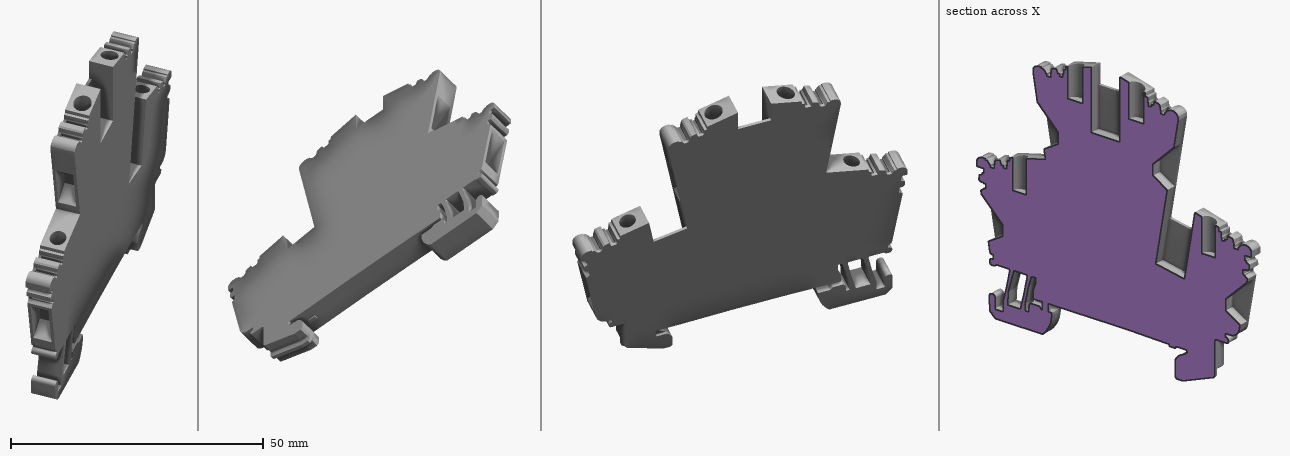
import cadquery as cq

THICKNESS = 5.1
COVER = 0.6
RIB_X = (2.15, 2.9)
POST_Y, POST_Z = (-18.15, -16.5), (4.85, 7.6)
PAD_Y, PAD_Z = (13.8, 15.55), (6.6, 7.6)

TOWER_Y = -2.15
TOWER_TOP_Z = 62.2
TOWER_STEP = (10.0, 60.6)
TOWER_CORNER = (18.3, 56.9)
TOWER_FOOT = (14.3, 33.5)

WING_STEP = (26.3, 36.4)
WING_TOP = (17.35, 38.7)
WING_SIDE_TOP = (33.6, 27.15)
WING_SIDE_LOW = (31.5, 15.5)

SLOT_HALF = 3.5
SLOT_FLOOR_Z = 57.6
WELL_DEPTH = 9.7

NOTCH_OUTER = (19.3, 32.25)
NOTCH_INNER = (TOWER_Y + TOWER_FOOT[0], TOWER_FOOT[1])
NOTCH_LEAN = 0.17
NOTCH_RISE = 8.3

BASE_Z = 7.05
ARCH_RISE = 0.2
SKIRT_Z = 11.9
LUG_Z = 11.5
LUG_CHAMFER = 0.3
STRUT_OVERLAP = 0.7

FIXED_HOOK_BACK = 25.35
FIXED_HOOK_FRONT = 15.25
FIXED_HOOK_LOW_Z = 1.5
RIB_DROP = 1.5

HOLE_X = 2.8
WING_HOLE_Y = 23.75
WING_HOLE_DIAMETER = 3.3
TOWER_HOLE_OFFSET = 7.7
TOWER_HOLE_DIAMETER = 3.65
HOLE_DEPTH = 6.9
HOLE_CLEARANCE = 3.45
SCREW_HOLES = [
    (WING_HOLE_Y, WING_STEP[1], WING_HOLE_DIAMETER),
    (-WING_HOLE_Y, WING_STEP[1], WING_HOLE_DIAMETER),
    (TOWER_Y + TOWER_HOLE_OFFSET, TOWER_STEP[1], TOWER_HOLE_DIAMETER),
    (TOWER_Y - TOWER_HOLE_OFFSET, TOWER_STEP[1], TOWER_HOLE_DIAMETER),
]

FUNNEL_X = (0.6, 4.4)
FUNNEL_HEIGHT = 9.8
FUNNEL_DEPTH = 3.6
FUNNEL_FLOOR_RISE = 2.15
FUNNEL_BACK_HEIGHT = 2.5
TOWER_FUNNEL_Z = 40.8
WING_FUNNEL_Z = 16.5


def prism(path, x_range=(0, THICKNESS)):
    """Extrude a closed YZ outline along X; a step is a point or an arc (via, end)."""
    outline = cq.Workplane("YZ", origin=(x_range[0], 0, 0)).moveTo(*path[0])
    for step in path[1:]:
        if isinstance(step[0], tuple):
            outline = outline.threePointArc(*step)
        else:
            outline = outline.lineTo(*step)
    return outline.close().extrude(x_range[1] - x_range[0])


def shifted(path, origin):
    """Move a path of points and arcs to a new origin."""
    moved = []
    for step in path:
        if isinstance(step[0], tuple):
            moved.append(tuple(shifted(step, origin)))
        else:
            moved.append((origin[0] + step[0], origin[1] + step[1]))
    return moved


def both_sides(half, centre_y=0.0):
    """Join a half built on the +Y side of Y = 0 with its mirror image, then centre it."""
    return half.union(half.mirror("XZ")).translate((0, centre_y, 0))


CREST = [
    (0, 0), (0.1, -0.75), (0.6, -0.8), (0.6, -1.7), ((0.75, -2.0), (1.1, -2.1)), (1.9, -2.15),
    (2.35, -1.2), (3.3, -1.45), (3.65, -1.7), (3.8, -2.55),
    ((4.0, -2.8), (4.35, -3.0)), (4.9, -3.0), (5.5, -2.2), (6.0, -2.2), (6.1, -1.9),
    (7.0, -1.9), ((7.75, -2.3), (8.2, -2.9)),
]
WING_EDGE = [
    (8.2, -4.35), (7.2, -4.35), ((6.9, -4.9), (7.0, -5.65)), (7.7, -6.0),
    (7.75, -7.05), (7.25, -7.45), (6.5, -7.45), (6.5, -8.7),
]
CREST_RELIEFS = [((0.75, 1.45), (-2.6, -1.8)), ((3.9, 4.8), (-3.45, -2.75))]
EDGE_RELIEFS = [((6.55, 7.2), (-5.25, -4.35)), ((6.1, 6.6), (-8.5, -7.6))]


def cut_reliefs(half, step, reliefs):
    """Deepen the grooves of a half behind the cover."""
    for (near, far), (low, high) in reliefs:
        corners = [(near, low), (far, low), (far, high), (near, high)]
        half = half.cut(prism(shifted(corners, step), (COVER, THICKNESS)))
    return half


def cut_funnel(half, side_top, side_low, mouth_z):
    """Cut a wire funnel into the sloping side that runs from side_low up to side_top."""
    lean = (side_top[0] - side_low[0]) / (side_top[1] - side_low[1])
    mouth_y = side_low[0] + lean * (mouth_z - side_low[1])
    back_y = mouth_y - FUNNEL_DEPTH
    back_low = mouth_z + FUNNEL_FLOOR_RISE
    funnel = [
        (mouth_y, mouth_z),
        (mouth_y + lean * FUNNEL_HEIGHT, mouth_z + FUNNEL_HEIGHT),
        (back_y, back_low + FUNNEL_BACK_HEIGHT),
        (back_y, back_low),
    ]
    return half.cut(prism(funnel, FUNNEL_X))


def tower():
    outline = [(0, TOWER_FOOT[1]), (0, SLOT_FLOOR_Z), (SLOT_HALF, SLOT_FLOOR_Z), (SLOT_HALF, TOWER_TOP_Z)]
    outline += shifted(CREST, TOWER_STEP)
    outline += [TOWER_CORNER, TOWER_FOOT]
    half = cut_reliefs(prism(outline), TOWER_STEP, CREST_RELIEFS)
    half = cut_funnel(half, TOWER_CORNER, TOWER_FOOT, TOWER_FUNNEL_Z)
    return both_sides(half, TOWER_Y)


def wings():
    outline = [(0, WING_SIDE_LOW[1]), (0, WING_TOP[1]), WING_TOP]
    outline += shifted(CREST + WING_EDGE, WING_STEP)
    outline += [WING_SIDE_TOP, WING_SIDE_LOW]
    half = cut_reliefs(prism(outline), WING_STEP, CREST_RELIEFS + EDGE_RELIEFS)
    half = cut_funnel(half, WING_SIDE_TOP, WING_SIDE_LOW, WING_FUNNEL_Z)
    return both_sides(half)


def notch_cutter(depth, x_range):
    """Tilted notch with its floor sunk by depth along the leaning walls."""
    def along_wall(point, rise):
        return (point[0] + NOTCH_LEAN * rise, point[1] + rise)

    return prism([
        along_wall(NOTCH_OUTER, -depth), along_wall(NOTCH_OUTER, NOTCH_RISE),
        along_wall(NOTCH_INNER, NOTCH_RISE), along_wall(NOTCH_INNER, -depth),
    ], x_range)


def marker_well():
    well = [
        (TOWER_Y - SLOT_HALF, SLOT_FLOOR_Z), (TOWER_Y + SLOT_HALF, SLOT_FLOOR_Z),
        (TOWER_Y + SLOT_HALF, SLOT_FLOOR_Z - WELL_DEPTH), (TOWER_Y - SLOT_HALF, SLOT_FLOOR_Z - WELL_DEPTH),
    ]
    return prism(well, (COVER, THICKNESS))


def lower_body():
    """Body below the wings, with its shallow arched underside and snap lugs at both ends."""
    return prism([
        WING_SIDE_LOW, ((30.8, 14.15), (29.5, 13.55)), (28.05, 13.55), (28.05, 13.0), (28.45, 12.7),
        ((28.8, 12.15), (28.4, LUG_Z)), (FIXED_HOOK_BACK + LUG_CHAMFER, LUG_Z),
        (FIXED_HOOK_BACK, LUG_Z - LUG_CHAMFER), (FIXED_HOOK_BACK, BASE_Z),
        (13.8, BASE_Z), ((-2.75, BASE_Z + ARCH_RISE), (-19.35, BASE_Z)),
        (-20.45, BASE_Z), (-20.45, 8.85), (-19.8, 10.65), (-19.8, SKIRT_Z),
        (-29.55, SKIRT_Z), (-30.05, LUG_Z), (-30.9, LUG_Z), ((-31.35, 12.15), (-30.45, 13.0)),
        (-30.45, 13.75), (-31.15, 13.95), (-31.35, 14.6), (-WING_SIDE_LOW[0], WING_SIDE_LOW[1]),
    ])


def hook_sole(drop):
    """Lower edge of the fixed hook from its front to its back, lowered by drop."""
    return shifted([
        (FIXED_HOOK_FRONT, 2.0), (15.7, FIXED_HOOK_LOW_Z), (17.3, FIXED_HOOK_LOW_Z),
        (24.9, 4.5), (FIXED_HOOK_BACK, 4.9),
    ], (0, -drop))


def fixed_hook():
    """Rigid rail hook on the +Y end, with a wider throat in the cover."""
    top = (FIXED_HOOK_BACK, LUG_Z - LUG_CHAMFER)
    nose = [(17.4, 5.95), ((16.0, 5.1), (FIXED_HOOK_FRONT, 4.0))]
    throat = [(18.1, LUG_Z), (18.1, BASE_Z), (18.3, 6.6)]
    hook = prism([top] + throat + nose + hook_sole(0))
    cover_throat = [
        (FIXED_HOOK_FRONT, BASE_Z), (18.65, BASE_Z), (18.9, 6.35), (18.65, 5.45), (FIXED_HOOK_FRONT, 5.45),
    ]
    hook = hook.cut(prism(cover_throat, (0, COVER)))
    rib = prism([(FIXED_HOOK_BACK, 6.2), (FIXED_HOOK_FRONT, 2.75)] + hook_sole(RIB_DROP), RIB_X)
    return hook.union(rib)


def spring_foot():
    """Sprung rail foot on the -Y end, hung from two slanted struts."""
    foot = prism([
        (-15.6, 5.45), (-18.15, 5.45), (-18.8, 6.0), (-20.9, 6.0), (-21.4, 5.5), (-21.55, 4.0),
        (-28.0, 4.0), (-28.0, 2.4), ((-28.05, 2.2), (-28.25, 2.15)), (-29.55, 2.15), ((-29.8, 2.2), (-29.85, 2.4)),
        (-29.85, 4.6), ((-30.7, 5.3), (-31.4, 4.55)), (-31.35, 1.4), (-29.9, 0),
        (-17.95, 0), ((-16.3, 2.2), (-15.6, 4.85)),
    ])
    inner_strut = prism([
        (-20.45, SKIRT_Z + STRUT_OVERLAP), (-20.7, SKIRT_Z), (-21.5, 9.45), (-22.3, 5.5), (-22.3, 3.45),
        (-23.6, 3.45), (-23.6, 4.0), (-22.85, 7.0), (-21.9, SKIRT_Z - 0.35), (-22.3, SKIRT_Z + STRUT_OVERLAP),
    ])
    outer_strut = prism([
        (-24.8, SKIRT_Z + STRUT_OVERLAP), (-25.3, SKIRT_Z - 0.4), (-26.5, 7.0), (-26.7, 3.45),
        (-28.0, 3.45), (-28.0, 4.3), (-26.95, 8.4), (-26.3, SKIRT_Z - 0.35), (-26.65, SKIRT_Z + STRUT_OVERLAP),
    ])
    return foot.union(inner_strut).union(outer_strut)


def rib_link(y_range, z_range):
    """Small rectangular piece of the central rib."""
    return (
        cq.Workplane("XY")
        .box(RIB_X[1] - RIB_X[0], y_range[1] - y_range[0], z_range[1] - z_range[0], centered=False)
        .translate((RIB_X[0], y_range[0], z_range[0]))
    )


def screw_hole(y, mouth_z, diameter):
    return (
        cq.Workplane("XY", origin=(HOLE_X, y, mouth_z - HOLE_DEPTH))
        .circle(diameter / 2)
        .extrude(HOLE_DEPTH + HOLE_CLEARANCE)
    )


result = wings().union(lower_body())
result = result.cut(notch_cutter(0, (0, THICKNESS)))
result = result.union(tower())
result = result.cut(notch_cutter(WELL_DEPTH, (COVER, THICKNESS))).cut(marker_well())
result = result.union(fixed_hook()).union(spring_foot())
result = result.union(rib_link(POST_Y, POST_Z))
result = result.union(rib_link(PAD_Y, PAD_Z))
for hole in SCREW_HOLES:
    result = result.cut(screw_hole(*hole))